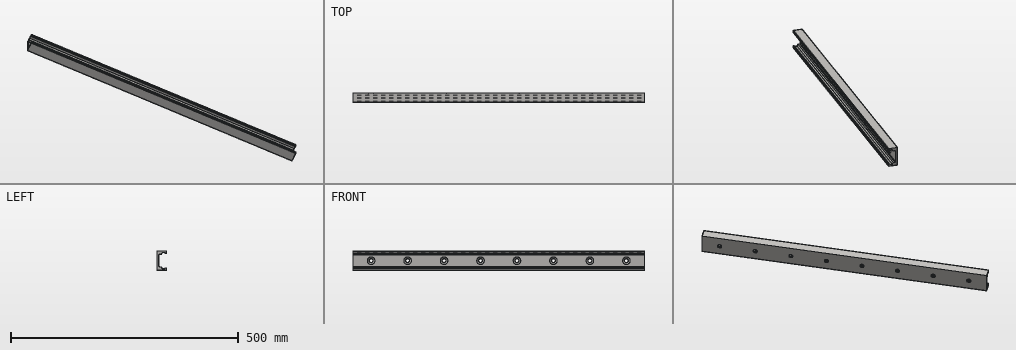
import cadquery as cq

length = 640.0
depth = 21.0
height = 43.0

web_thickness = 4.5
shoulder_end = 9.5
groove_start = 12.0
groove_end = 17.0
lip_start = 18.5
shoulder_thickness = 8.0
groove_thickness = 4.0
lip_thickness = 6.0

outer_chamfer = 0.95
lip_chamfer = 0.95
web_corner_chamfer = 1.0

hole_count = 8
hole_pitch = length / hole_count
hole_diameter = 8.0
countersink_diameter = 16.5
countersink_angle = 90

back = depth / 2
half_height = height / 2


def flange_outline(side):
    """Corner points of the upper (side=1) or lower (side=-1) half, from back to web."""
    offsets = [
        (0, 0),
        (depth - outer_chamfer, 0),
        (depth, outer_chamfer),
        (depth, lip_thickness - lip_chamfer),
        (depth - lip_chamfer, lip_thickness),
        (lip_start, lip_thickness),
        (groove_end, groove_thickness),
        (groove_start, groove_thickness),
        (shoulder_end, shoulder_thickness),
        (web_thickness + web_corner_chamfer, shoulder_thickness),
        (web_thickness, shoulder_thickness + web_corner_chamfer),
    ]
    return [(back - y, side * (half_height - z)) for y, z in offsets]


def make_rail():
    """Extrude the C section with a trapezoidal raceway groove in each flange."""
    outline = flange_outline(1) + flange_outline(-1)[::-1]
    section = cq.Workplane("YZ", origin=(-length / 2, 0, 0)).polyline(outline).close()
    return section.extrude(length)


def drill_mounting_holes(rail):
    """Drill a centred row of holes, countersunk on the channel side of the web."""
    return (
        cq.Workplane("XZ", origin=(0, back - web_thickness, 0))
        .add(rail)
        .rarray(hole_pitch, 6.5, hole_count, 1)
        .cskHole(hole_diameter, countersink_diameter, countersink_angle, web_thickness)
    )


result = drill_mounting_holes(make_rail())